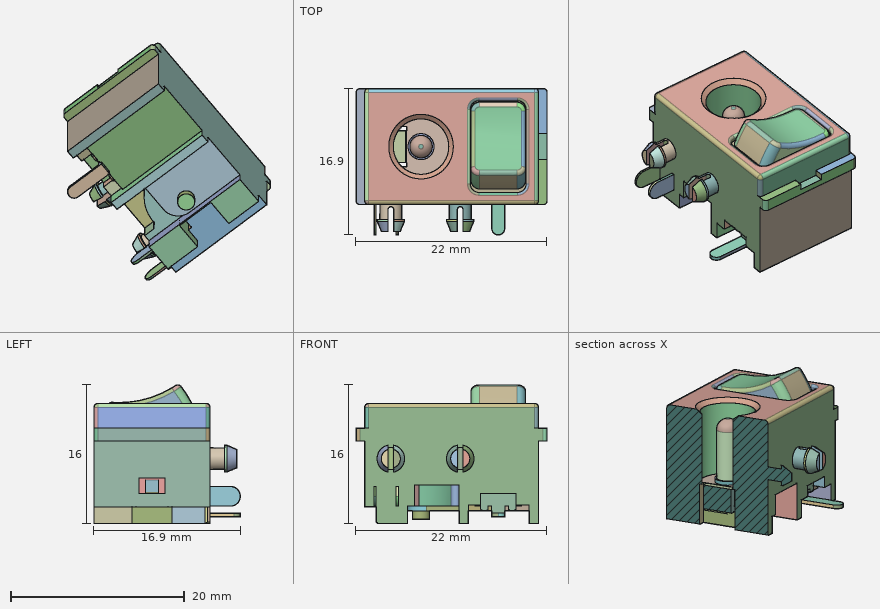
import cadquery as cq
import math

OVERALL_WIDTH = 22.0
BODY_WIDTH = 20.02
BODY_DEPTH = 13.38
BODY_TOP = 13.84
EDGE_RADIUS = 0.46
FLANGE_BOTTOM = 9.5
FLANGE_TOP = 10.98
FLANGE_NOTCH_WIDTH = 3.0
BODY_LEFT = -BODY_WIDTH / 2
BODY_RIGHT = BODY_WIDTH / 2
BODY_FRONT = -BODY_DEPTH / 2
BODY_BACK = BODY_DEPTH / 2

BASE_BOTTOM = 1.47
SIDE_BOTTOM = 1.94
FOOT_LEFT = -8.51
FOOT_LIP_HEIGHT = 0.18
FOOT_LIP_CREST = 0.33
FOOT_LIP_ROOT = 0.6
LEG_WIDTH = 1.08
JACK_BAY_LEFT = -5.05
JACK_BAY_RIGHT = 0.85
SWITCH_BAY_LEFT = JACK_BAY_RIGHT + LEG_WIDTH
SWITCH_BAY_RIGHT = BODY_RIGHT - LEG_WIDTH

JACK_X = -3.52
JACK_RADIUS = 3.2
JACK_RIM_RADIUS = 3.72
JACK_FLOOR = 4.85
PIN_RADIUS = 1.3
PIN_TOP = 12.39
PIN_TIP_RADIUS = 0.26
PIN_COLLAR_RADIUS = 1.5
PIN_COLLAR_HEIGHT = 0.45
SPRING_WALL = 0.13
SPRING_SLOT_LEFT = -6.82
SPRING_SLOT_RIGHT = JACK_BAY_LEFT - SPRING_WALL
SPRING_SLOT_WIDTH = 4.6
SPRING_WIDTH = 3.67
SPRING_FACE_X = -5.28
SPRING_LEDGE_HEIGHT = 0.65
RIVET_RADIUS = 1.0
RIVET_BOTTOM = 0.48

JACK_PLATE_TOP = 2.02
JACK_PLATE_FRONT = -2.85
JACK_PLATE_RADIUS = 2.15
POCKET_TOP = 4.45
POCKET_LEFT = -4.27
POCKET_FACET = 0.53
BARREL_RADIUS = 4.85
POCKET_CORNER_RADIUS = 0.53

SWITCH_X = 5.37
WELL_WIDTH = 6.42
WELL_LENGTH = 10.54
WELL_FLOOR = 13.25
WELL_RIM_RADIUS = 0.33
WELL_CORNER_RADIUS = 1.0
WELL_RIM_REACH = (WELL_WIDTH / 2 + 0.22, WELL_LENGTH / 2 + 0.22, 0.02)
ROCKER_WIDTH = 6.31
ROCKER_CORNER_RADIUS = 1.0
ROCKER_EDGE_RADIUS = 0.48
ROCKER_CORNER_REACH = (ROCKER_WIDTH, 0.65, 0.88)
ROCKER_ROOT = WELL_FLOOR - 0.45
ROCKER_TAIL_FOOT_Y = 5.17
ROCKER_TAIL_TOP = (5.02, 14.01)
ROCKER_TOP_MID = (0.0, 14.56)
ROCKER_CREST = (-3.05, 16.15)
ROCKER_FACE_MID = (-4.14, 14.63)
ROCKER_FOOT_Y = -5.05

SWITCH_WALL_BOTTOM = 2.15
SWITCH_WALL_THICKNESS = 1.67
SWITCH_GROOVE_WIDTH = 5.3
SWITCH_GROOVE_HEIGHT = 0.13
SWITCH_GROOVE_DEPTH = 0.22
NOTCH_WIDTH = 4.05
NOTCH_TOP = 3.48
NOTCH_DEPTH = 1.45
LOBE_WIDTH = 0.85
LOBE_BOTTOM = 1.55
LOBE_RADIUS = 0.18
LOBE_GAP_TOP = 2.0

TERMINAL_REACH = 3.48
TERMINAL_ROOT = 0.65
ROUND_END_MARGIN = 0.002
TAB_WIDTH = 1.52
TAB_BOTTOM = 0.77
TAB_THICKNESS = 0.45
BLADE_BOTTOM = 2.0
BLADE_HEIGHT = 2.29
BLADES = ((-8.93, 0.25), (-6.42, 0.3))

POST_XS = (-7.0, 1.0)
POST_Z = 7.48
POST_RADIUS = 1.28
POST_COLLAR_RADIUS = 1.58
POST_TIP_RADIUS = 1.1
POST_COLLAR_START = 1.67
POST_COLLAR_END = 1.91
POST_LENGTH = 3.08
POST_SLOT_WIDTH = 0.64
POST_SLOT_START = 0.25

WINDOW_WIDTH = 2.97
WINDOW_BOTTOM = 3.48
WINDOW_TOP = 5.28
WINDOW_DEPTH = 1.03
CONTACT_WIDTH = 1.52
CONTACT_LIP_TOP = 3.6
CONTACT_TOP = 5.0
CONTACT_FOOT_DEPTH = 0.2


def block(x_range, y_range, z_range):
    """Box between pairs of limits along X, Y and Z."""
    size = [high - low for low, high in (x_range, y_range, z_range)]
    return (
        cq.Workplane("XY")
        .box(*size, centered=False)
        .translate((x_range[0], y_range[0], z_range[0]))
    )


def housing_shell():
    depth_range = (BODY_FRONT, BODY_BACK)
    sides = (BODY_LEFT, BODY_RIGHT)
    lower = block((FOOT_LEFT, BODY_RIGHT), depth_range, (0, SIDE_BOTTOM))
    middle = block(sides, depth_range, (SIDE_BOTTOM, FLANGE_TOP))
    upper = block(sides, depth_range, (FLANGE_TOP, BODY_TOP))
    upper = upper.edges("|Z or >Z").fillet(EDGE_RADIUS)
    flange = block((-OVERALL_WIDTH / 2, OVERALL_WIDTH / 2), depth_range, (FLANGE_BOTTOM, FLANGE_TOP))
    flange = flange.edges("|Z").fillet(EDGE_RADIUS)
    notch = block(
        (BODY_RIGHT, OVERALL_WIDTH / 2),
        (-FLANGE_NOTCH_WIDTH / 2, FLANGE_NOTCH_WIDTH / 2),
        ((FLANGE_BOTTOM + FLANGE_TOP) / 2, FLANGE_TOP),
    )
    return lower.union(middle).union(upper).union(flange.cut(notch)).union(foot_lip())


def foot_lip():
    """Upright lip along the front left edge of the foot block."""
    outer = FOOT_LEFT - FOOT_LIP_HEIGHT
    lip = (
        cq.Workplane("XY")
        .moveTo(FOOT_LEFT, BODY_FRONT)
        .lineTo(outer, BODY_FRONT)
        .lineTo(outer, BODY_FRONT + FOOT_LIP_CREST)
        .lineTo(FOOT_LEFT, BODY_FRONT + FOOT_LIP_ROOT)
        .close()
        .extrude(SIDE_BOTTOM)
    )
    bevel = (
        cq.Workplane("XZ", origin=(0, BODY_FRONT + FOOT_LIP_ROOT, 0))
        .polyline([(FOOT_LEFT, 0), (outer, FOOT_LIP_HEIGHT), (outer, 0)])
        .close()
        .extrude(FOOT_LIP_ROOT)
    )
    return lip.cut(bevel)


def jack_bay():
    """Channel under the jack, the front relief round the jack plate, and the barrel pocket."""
    channel = block((JACK_BAY_LEFT, JACK_BAY_RIGHT), (BODY_FRONT, BODY_BACK), (0, BASE_BOTTOM))

    corner = JACK_PLATE_RADIUS
    diagonal = corner * (1 - math.sqrt(0.5))
    relief = (
        cq.Workplane("XY", origin=(0, 0, BASE_BOTTOM))
        .moveTo(JACK_BAY_LEFT, BODY_FRONT)
        .lineTo(JACK_BAY_LEFT, JACK_PLATE_FRONT + corner)
        .threePointArc(
            (JACK_BAY_LEFT + diagonal, JACK_PLATE_FRONT + diagonal),
            (JACK_BAY_LEFT + corner, JACK_PLATE_FRONT),
        )
        .lineTo(JACK_BAY_RIGHT, JACK_PLATE_FRONT)
        .lineTo(JACK_BAY_RIGHT, BODY_FRONT)
        .close()
        .extrude(JACK_PLATE_TOP - BASE_BOTTOM)
    )

    def around(center, radius, angle):
        return center[0] + radius * math.cos(angle), center[1] + radius * math.sin(angle)

    axis = (JACK_X, 0)
    start_angle = -math.acos((POCKET_LEFT + POCKET_FACET - JACK_X) / BARREL_RADIUS)
    corner_x = JACK_BAY_RIGHT - POCKET_CORNER_RADIUS
    end_angle = -math.acos((corner_x - JACK_X) / (BARREL_RADIUS + POCKET_CORNER_RADIUS))
    corner_center = around(axis, BARREL_RADIUS + POCKET_CORNER_RADIUS, end_angle)
    facet_end = around(axis, BARREL_RADIUS, start_angle)
    pocket = (
        cq.Workplane("XY", origin=(0, 0, JACK_PLATE_TOP))
        .moveTo(POCKET_LEFT, BODY_FRONT)
        .lineTo(POCKET_LEFT, facet_end[1] - POCKET_FACET)
        .lineTo(*facet_end)
        .threePointArc(
            around(axis, BARREL_RADIUS, (start_angle + end_angle) / 2),
            around(axis, BARREL_RADIUS, end_angle),
        )
        .threePointArc(
            around(corner_center, POCKET_CORNER_RADIUS, (end_angle + math.pi) / 2),
            (JACK_BAY_RIGHT, corner_center[1]),
        )
        .lineTo(JACK_BAY_RIGHT, BODY_FRONT)
        .close()
        .extrude(POCKET_TOP - JACK_PLATE_TOP)
    )
    return channel.union(relief).union(pocket)


def jack_socket():
    """Round socket with a chamfered mouth, open to the spring slot below it."""
    chamfer = JACK_RIM_RADIUS - JACK_RADIUS
    bore = (
        cq.Workplane("XZ")
        .moveTo(0, JACK_FLOOR)
        .lineTo(JACK_RADIUS, JACK_FLOOR)
        .lineTo(JACK_RADIUS, BODY_TOP - chamfer)
        .lineTo(JACK_RIM_RADIUS, BODY_TOP)
        .lineTo(0, BODY_TOP)
        .close()
        .revolve(360, (0, 0, 0), (0, 1, 0))
        .translate((JACK_X, 0, 0))
    )
    slot_span = (-SPRING_SLOT_WIDTH / 2, SPRING_SLOT_WIDTH / 2)
    slot = block((SPRING_SLOT_LEFT, SPRING_SLOT_RIGHT), slot_span, (SIDE_BOTTOM, JACK_FLOOR))
    foot_gap = block((FOOT_LEFT, SPRING_SLOT_RIGHT), slot_span, (0, SIDE_BOTTOM))
    return bore.union(slot).union(foot_gap)


def jack_contacts():
    """Centre pin with a round nose, its rivet underneath, and the contact spring."""
    nose_height = math.sqrt(PIN_RADIUS**2 - PIN_TIP_RADIUS**2)
    nose_base = PIN_TOP - nose_height
    nose_angle = math.acos(PIN_TIP_RADIUS / PIN_RADIUS) / 2
    nose_mid = (PIN_RADIUS * math.cos(nose_angle), nose_base + PIN_RADIUS * math.sin(nose_angle))
    collar_top = JACK_FLOOR + PIN_COLLAR_HEIGHT
    pin = (
        cq.Workplane("XZ")
        .moveTo(0, RIVET_BOTTOM)
        .lineTo(RIVET_RADIUS, RIVET_BOTTOM)
        .lineTo(RIVET_RADIUS, JACK_FLOOR)
        .lineTo(PIN_COLLAR_RADIUS, JACK_FLOOR)
        .lineTo(PIN_COLLAR_RADIUS, collar_top)
        .lineTo(PIN_RADIUS, collar_top)
        .lineTo(PIN_RADIUS, nose_base)
        .threePointArc(nose_mid, (PIN_TIP_RADIUS, PIN_TOP))
        .lineTo(0, PIN_TOP)
        .close()
        .revolve(360, (0, 0, 0), (0, 1, 0))
        .translate((JACK_X, 0, 0))
    )
    span = (-SPRING_WIDTH / 2, SPRING_WIDTH / 2)
    leaf = block((SPRING_SLOT_LEFT, SPRING_FACE_X), span, (SIDE_BOTTOM, JACK_FLOOR))
    ledge = block((SPRING_FACE_X, SPRING_SLOT_RIGHT), span, (SIDE_BOTTOM, SIDE_BOTTOM + SPRING_LEDGE_HEIGHT))
    return pin.union(leaf).union(ledge)


def switch_bay():
    """Channel under the switch, thinned front wall, and the notch round the terminal."""
    bay = (SWITCH_BAY_LEFT, SWITCH_BAY_RIGHT)
    wall_back = BODY_FRONT + SWITCH_WALL_THICKNESS
    channel = block(bay, (BODY_FRONT, BODY_BACK), (0, BASE_BOTTOM))
    relief = block(bay, (BODY_FRONT, wall_back), (BASE_BOTTOM, SWITCH_WALL_BOTTOM))
    groove = block(
        (SWITCH_X - SWITCH_GROOVE_WIDTH / 2, SWITCH_X + SWITCH_GROOVE_WIDTH / 2),
        (BODY_FRONT, wall_back + SWITCH_GROOVE_DEPTH),
        (SWITCH_WALL_BOTTOM - SWITCH_GROOVE_HEIGHT, SWITCH_WALL_BOTTOM),
    )
    notch = block(
        (SWITCH_X - NOTCH_WIDTH / 2, SWITCH_X + NOTCH_WIDTH / 2),
        (BODY_FRONT, BODY_FRONT + NOTCH_DEPTH),
        (BASE_BOTTOM, NOTCH_TOP),
    )
    return channel.union(relief).union(groove).union(notch)


def switch_terminal():
    """Upright plate with two lobes and a tab bent out to the front."""
    face = BODY_FRONT + NOTCH_DEPTH
    plate_depth = (face, BODY_FRONT + SWITCH_WALL_THICKNESS + SWITCH_GROOVE_DEPTH)
    left = SWITCH_X - NOTCH_WIDTH / 2
    right = SWITCH_X + NOTCH_WIDTH / 2
    tab_sides = (SWITCH_X - TAB_WIDTH / 2, SWITCH_X + TAB_WIDTH / 2)
    terminal = block((left, right), plate_depth, (LOBE_GAP_TOP, NOTCH_TOP))
    for lobe_left in (left, right - LOBE_WIDTH):
        lobe = block((lobe_left, lobe_left + LOBE_WIDTH), plate_depth, (LOBE_BOTTOM, NOTCH_TOP))
        terminal = terminal.union(lobe.edges("|Y and <Z").fillet(LOBE_RADIUS))
    terminal = terminal.union(block(tab_sides, plate_depth, (TAB_BOTTOM, NOTCH_TOP)))
    tab = block(tab_sides, (BODY_FRONT - TERMINAL_REACH, face), (TAB_BOTTOM, TAB_BOTTOM + TAB_THICKNESS))
    tab = tab.edges("|Z and <Y").fillet(TAB_WIDTH / 2 - ROUND_END_MARGIN)
    return terminal.union(tab)


def blade_terminal(left, thickness):
    """Upright blade with a round end."""
    blade = block(
        (left, left + thickness),
        (BODY_FRONT - TERMINAL_REACH, BODY_FRONT + TERMINAL_ROOT),
        (BLADE_BOTTOM, BLADE_BOTTOM + BLADE_HEIGHT),
    )
    return blade.edges("|X and <Y").fillet(BLADE_HEIGHT / 2 - ROUND_END_MARGIN)


def near(x, y, z, reach):
    """Selector for what is centred in a box reaching this far each way from a point."""
    low = (x - reach[0], y - reach[1], z - reach[2])
    high = (x + reach[0], y + reach[1], z + reach[2])
    return cq.selectors.BoxSelector(low, high)


def switch_well():
    """Shallow well that the rocker stands in."""
    return (
        cq.Workplane("XY", origin=(SWITCH_X, 0, WELL_FLOOR))
        .rect(WELL_WIDTH, WELL_LENGTH)
        .extrude(BODY_TOP - WELL_FLOOR)
        .edges("|Z")
        .fillet(WELL_CORNER_RADIUS)
    )


def rocker():
    """Rocker tipped forward: hollow top, raised front crest, rounded edges."""
    body = (
        cq.Workplane("YZ", origin=(SWITCH_X - ROCKER_WIDTH / 2, 0, 0))
        .moveTo(ROCKER_TAIL_FOOT_Y, ROCKER_ROOT)
        .lineTo(*ROCKER_TAIL_TOP)
        .threePointArc(ROCKER_TOP_MID, ROCKER_CREST)
        .threePointArc(ROCKER_FACE_MID, (ROCKER_FOOT_Y, ROCKER_ROOT))
        .close()
        .extrude(ROCKER_WIDTH)
    )
    for end_y, end_z in (ROCKER_FACE_MID, ROCKER_TAIL_TOP):
        corners = near(SWITCH_X, end_y, end_z, ROCKER_CORNER_REACH)
        body = body.edges(corners).edges("not |X").fillet(ROCKER_CORNER_RADIUS)
    top_face = cq.selectors.NearestToPointSelector((SWITCH_X, *ROCKER_TOP_MID))
    return body.faces(top_face).edges().fillet(ROCKER_EDGE_RADIUS)


def snap_post(x):
    """Barbed post pointing forward, split by an upright slot."""
    post = (
        cq.Workplane("XY")
        .moveTo(0, 0)
        .lineTo(POST_RADIUS, 0)
        .lineTo(POST_RADIUS, -POST_COLLAR_START)
        .lineTo(POST_COLLAR_RADIUS, -POST_COLLAR_START)
        .lineTo(POST_COLLAR_RADIUS, -POST_COLLAR_END)
        .lineTo(POST_TIP_RADIUS, -POST_LENGTH)
        .lineTo(0, -POST_LENGTH)
        .close()
        .revolve(360, (0, 0, 0), (0, 1, 0))
    )
    half = POST_SLOT_WIDTH / 2
    slot = (
        cq.Workplane("XY", origin=(0, 0, -POST_COLLAR_RADIUS))
        .moveTo(-half, -POST_LENGTH)
        .lineTo(-half, -POST_SLOT_START - half)
        .threePointArc((0, -POST_SLOT_START), (half, -POST_SLOT_START - half))
        .lineTo(half, -POST_LENGTH)
        .close()
        .extrude(2 * POST_COLLAR_RADIUS)
    )
    return post.cut(slot).translate((x, BODY_FRONT, POST_Z))


def contact_window():
    """Window in the left wall, with the sloped contact left standing in it."""
    window = block(
        (BODY_LEFT, BODY_LEFT + WINDOW_DEPTH),
        (-WINDOW_WIDTH / 2, WINDOW_WIDTH / 2),
        (WINDOW_BOTTOM, WINDOW_TOP),
    )
    back = BODY_LEFT + WINDOW_DEPTH
    foot = back - CONTACT_FOOT_DEPTH
    contact = (
        cq.Workplane("XZ", origin=(0, CONTACT_WIDTH / 2, 0))
        .moveTo(back, WINDOW_BOTTOM)
        .lineTo(foot, WINDOW_BOTTOM)
        .lineTo(foot, CONTACT_LIP_TOP)
        .lineTo(back, CONTACT_TOP)
        .close()
        .extrude(CONTACT_WIDTH)
    )
    return window.cut(contact)


result = housing_shell()
for hollow in (jack_bay(), switch_bay(), contact_window(), jack_socket()):
    result = result.cut(hollow)

result = result.cut(switch_well())
well_rim = near(SWITCH_X, 0, BODY_TOP, WELL_RIM_REACH)
result = result.edges(well_rim).fillet(WELL_RIM_RADIUS)

result = result.union(rocker()).union(jack_contacts()).union(switch_terminal())
for blade_left, blade_thickness in BLADES:
    result = result.union(blade_terminal(blade_left, blade_thickness))
for post_x in POST_XS:
    result = result.union(snap_post(post_x))